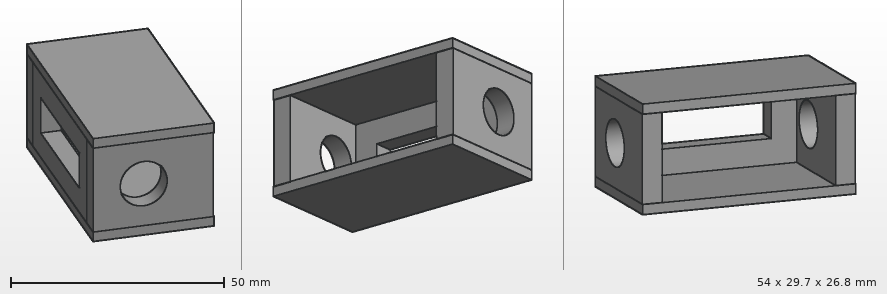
import cadquery as cq

LENGTH = 53.95
DEPTH = 29.7
HEIGHT = 26.75

PLATE_THICKNESS = 2.5

WALL_THICKNESS = 5.0
BACK_SETBACK = 0.2
HOLE_DIAMETER = 11.5
HOLE_CENTER_Y = -2.45
WINDOW_LENGTH = 31.2
WINDOW_HEIGHT = 9.1

wall_height = HEIGHT - 2 * PLATE_THICKNESS
wall_depth = DEPTH - BACK_SETBACK
panel_length = LENGTH - 2 * WALL_THICKNESS


def make_plate(side):
    """Flat cover; side is -1 for the bottom and 1 for the top."""
    plate = cq.Workplane("XY").box(LENGTH, DEPTH, PLATE_THICKNESS)
    return plate.translate((0, 0, side * (HEIGHT - PLATE_THICKNESS) / 2))


def make_end_wall(side):
    """Upright wall with a through bore; side is -1 for the left and 1 for the right."""
    wall = cq.Workplane("XY").box(WALL_THICKNESS, wall_depth, wall_height)
    wall = wall.translate((side * (LENGTH - WALL_THICKNESS) / 2, -BACK_SETBACK / 2, 0))
    bore = (
        cq.Workplane("YZ")
        .center(HOLE_CENTER_Y, 0)
        .circle(HOLE_DIAMETER / 2)
        .extrude(LENGTH, both=True)
    )
    return wall.cut(bore)


def make_front_panel():
    """Panel between the end walls, with a rectangular window; the back stays open."""
    panel = cq.Workplane("XY").box(panel_length, WALL_THICKNESS, wall_height)
    window = cq.Workplane("XY").box(WINDOW_LENGTH, WALL_THICKNESS, WINDOW_HEIGHT)
    return panel.cut(window).translate((0, (WALL_THICKNESS - DEPTH) / 2, 0))


plates = [make_plate(side) for side in (-1, 1)]
end_walls = [make_end_wall(side) for side in (-1, 1)]
front_panel = make_front_panel()

result = cq.Compound.makeCompound([body.val() for body in [*plates, *end_walls, front_panel]])